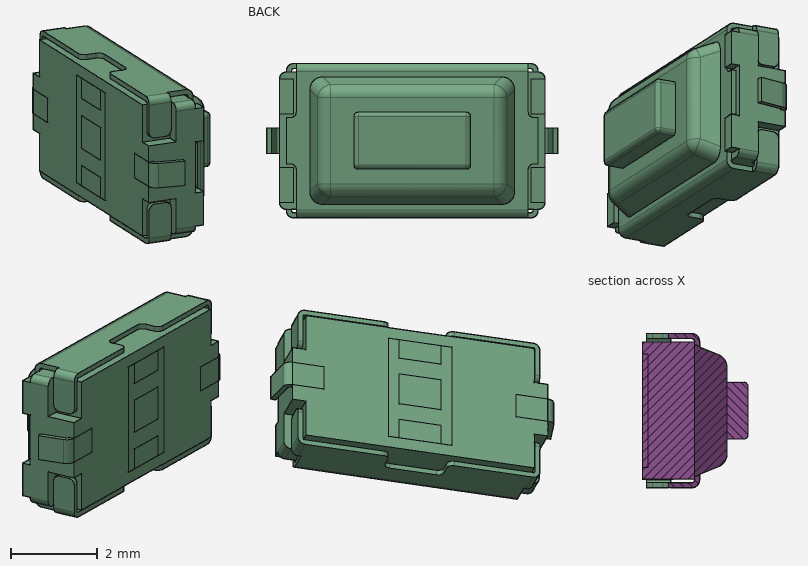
import cadquery as cq
import math


housing_length = 6.11
housing_width = 3.16
housing_depth = 1.2
housing_corner_radius = 0.16
end_wall_top = 1.41
end_wall_width = 2.84
end_wall_thickness = 0.32
end_wall_gap = 1.23

cover_length = 5.79
cover_width = 3.55
sheet = 0.12
cover_top = housing_depth + sheet
edge_bend_radius = 0.19
corner_bend_radius = 0.17
flange_bottom = 0.095
plate_length = 5.33
tongue_width = 1.07
tongue_root_radius = 0.12
tab_top = 0.655
tab_gap = 1.595
tab_corner_radius = 0.14
cutout_width = 1.41
cutout_top = 0.61
cutout_radius = 0.14

pocket_top = 0.705
pocket_gap = 1.37

dome_base_length = 4.805
dome_base_width = 3.03
dome_top = 1.95
dome_taper = 22.0
dome_radius = 0.32
button_length = 2.68
button_width = 1.31
button_top = 2.43
button_radius = 0.1

overall_length = 6.7
terminal_width = 0.59
terminal_inner_end = 2.3
tip_height = 0.785
lean_angle = math.radians(9.8)
terminal_bend_radius = 0.195

contact_length = 1.515
contact_width = 2.6
bar_length = 1.005
center_pad_width = 0.79
end_pad_width = 0.49


def block(length, width, y_start, y_end, x=0.0, z=0.0):
    """A box centred at (x, z) that spans y_start to y_end."""
    return (
        cq.Workplane("XZ", origin=(x, y_start, z))
        .rect(length, width)
        .extrude(y_start - y_end)
    )


def make_dome():
    """Rubber dome with sloping sides, standing on the housing."""
    return (
        cq.Workplane("XZ", origin=(0, housing_depth, 0))
        .rect(dome_base_length, dome_base_width)
        .extrude(housing_depth - dome_top, taper=dome_taper)
        .edges("not <Y")
        .fillet(dome_radius)
    )


def make_button():
    return (
        block(button_length, button_width, dome_top, button_top)
        .edges("|Y or >Y")
        .fillet(button_radius)
    )


def make_terminal_blank():
    """Left terminal: a flat strip whose free end bends up and leans outwards."""
    lean_x = math.sin(lean_angle)
    lean_y = math.cos(lean_angle)
    tip_x = -overall_length / 2
    outer_knee_x = tip_x + tip_height * math.tan(lean_angle)
    inner_knee_x = outer_knee_x + sheet * (1 - lean_x) / lean_y
    profile = [
        (-terminal_inner_end, 0),
        (outer_knee_x, 0),
        (tip_x, tip_height),
        (tip_x + sheet * lean_y, tip_height + sheet * lean_x),
        (inner_knee_x, sheet),
        (-terminal_inner_end, sheet),
    ]
    terminal = (
        cq.Workplane("XY", origin=(0, 0, -terminal_width / 2))
        .polyline(profile)
        .close()
        .extrude(terminal_width)
    )
    outer_knee = cq.selectors.NearestToPointSelector((outer_knee_x, 0, 0))
    inner_knee = cq.selectors.NearestToPointSelector((inner_knee_x, sheet, 0))
    terminal = terminal.edges("|Z").edges(outer_knee).fillet(terminal_bend_radius)
    return terminal.edges("|Z").edges(inner_knee).fillet(terminal_bend_radius - sheet)


def make_terminal(side):
    """side is -1 for the left terminal and +1 for the right one."""
    terminal = make_terminal_blank()
    return terminal if side < 0 else terminal.mirror("YZ")


def make_contact_plate():
    """Thin plate with a window in the middle and a notch in each end."""
    plate = block(contact_length, contact_width, 0, sheet)
    plate = plate.cut(block(bar_length, center_pad_width, 0, sheet))
    for end in (-1, 1):
        pad_z = end * (contact_width - end_pad_width) / 2
        plate = plate.cut(block(bar_length, end_pad_width, 0, sheet, z=pad_z))
    return plate


def make_contact_bar(contact_plate):
    """Bar behind the contact plate, with three pads that fill its window and notches."""
    return block(bar_length, contact_width, 0, 2 * sheet).cut(contact_plate)


def make_cover_plate():
    """Plate with both long edges bent down into flanges and a tongue at each end."""
    channel = (
        block(plate_length, cover_width, flange_bottom, cover_top)
        .edges("|X and >Y")
        .fillet(edge_bend_radius)
    )
    inside = (
        block(plate_length, cover_width - 2 * sheet, flange_bottom, housing_depth)
        .edges("|X and >Y")
        .fillet(edge_bend_radius - sheet)
    )
    tongues = block(cover_length, tongue_width, housing_depth, cover_top)
    root_half_length = plate_length / 2 + sheet / 2
    root_half_width = tongue_width / 2 + sheet / 2
    roots = cq.selectors.BoxSelector(
        (-root_half_length, housing_depth, -root_half_width),
        (root_half_length, cover_top, root_half_width),
    )
    return channel.cut(inside).union(tongues).edges("|Y").edges(roots).fillet(tongue_root_radius)


def make_cover_tabs():
    """Lower flange bands whose ends fold round the housing corners as tabs."""
    band = block(cover_length, cover_width, flange_bottom, tab_top).edges("|Y").fillet(corner_bend_radius)
    inside = (
        block(cover_length - 2 * sheet, cover_width - 2 * sheet, flange_bottom, tab_top)
        .edges("|Y")
        .fillet(corner_bend_radius - sheet)
    )
    tabs = band.cut(inside).cut(block(cover_length, tab_gap, flange_bottom, tab_top))
    tab_ends = cq.selectors.BoxSelector(
        (-cover_length, 0, -tab_gap / 2 - sheet / 2),
        (cover_length, cover_top, tab_gap / 2 + sheet / 2),
    )
    return tabs.edges("|X").edges(tab_ends).fillet(tab_corner_radius)


def make_flange_cutout():
    """Cutter for the cutouts in the lower edges of both flanges, with all corners rounded."""
    half = cutout_width / 2
    r = cutout_radius
    return (
        cq.Workplane("XY", origin=(0, 0, -cover_width / 2))
        .moveTo(-half - r, flange_bottom)
        .radiusArc((-half, flange_bottom + r), -r)
        .lineTo(-half, cutout_top - r)
        .radiusArc((-half + r, cutout_top), r)
        .lineTo(half - r, cutout_top)
        .radiusArc((half, cutout_top - r), r)
        .lineTo(half, flange_bottom + r)
        .radiusArc((half + r, flange_bottom), -r)
        .close()
        .extrude(cover_width)
    )


def make_cover(dome):
    """Cover with a window that fits the dome."""
    return make_cover_plate().union(make_cover_tabs()).cut(make_flange_cutout()).cut(dome)


def make_housing(inserts):
    """Base block with end walls and tab pockets, recessed for the inserts."""
    housing = (
        block(housing_length, housing_width, 0, housing_depth)
        .edges("|Y")
        .fillet(housing_corner_radius)
    )
    wall_x = (housing_length - end_wall_thickness) / 2
    wall_segment = (end_wall_width - end_wall_gap) / 2
    wall_z = (end_wall_width + end_wall_gap) / 4
    pocket_width = (housing_width - pocket_gap) / 2
    pocket_z = (housing_width + pocket_gap) / 4
    for x_side in (-1, 1):
        for z_side in (-1, 1):
            wall = block(
                end_wall_thickness, wall_segment, housing_depth, end_wall_top,
                x=x_side * wall_x, z=z_side * wall_z,
            )
            pocket = block(
                end_wall_thickness, pocket_width, 0, pocket_top,
                x=x_side * wall_x, z=z_side * pocket_z,
            )
            housing = housing.union(wall).cut(pocket)
    for insert in inserts:
        housing = housing.cut(insert)
    return housing


dome = make_dome()
button = make_button()
cover = make_cover(dome)
terminals = [make_terminal(side) for side in (-1, 1)]
contact_plate = make_contact_plate()
contact_bar = make_contact_bar(contact_plate)
housing = make_housing([*terminals, contact_plate, contact_bar])

result = cq.Compound.makeCompound(
    [
        housing.val(),
        cover.val(),
        dome.val(),
        button.val(),
        *[terminal.val() for terminal in terminals],
        contact_plate.val(),
        contact_bar.val(),
    ]
)